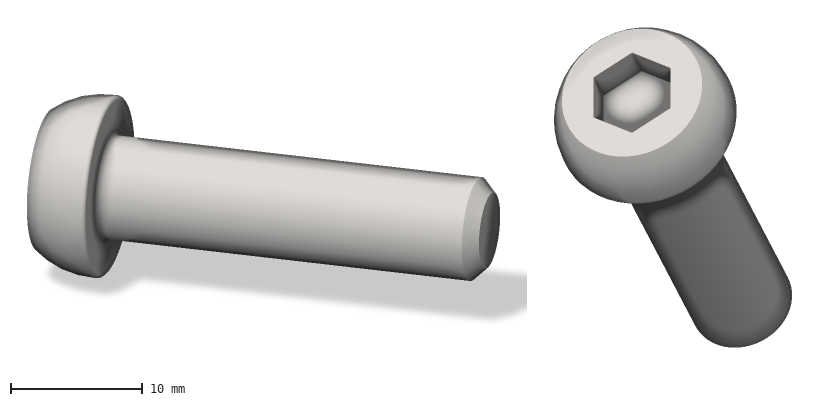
import cadquery as cq
import math

total_length = 35.0
head_diameter = 14.0
head_height = 5.0
face_diameter = 11.0
shank_diameter = 7.95
tip_chamfer = 1.05
lip_width = 0.2
lip_rounding = 0.28
neck_fillet = 0.3
socket_width = 6.02
socket_depth = 3.0

head_radius = head_diameter / 2
face_radius = face_diameter / 2
shank_radius = shank_diameter / 2
dome_end = head_height - lip_rounding - lip_width


def dome_midpoint():
    """Midpoint of the dome arc, a spherical surface centred on the screw axis."""
    center_x = (dome_end**2 + head_radius**2 - face_radius**2) / (2 * dome_end)
    sphere_radius = math.hypot(center_x, face_radius)
    face_angle = math.atan2(face_radius, -center_x)
    rim_angle = math.atan2(head_radius, dome_end - center_x)
    middle_angle = (face_angle + rim_angle) / 2
    x = center_x + sphere_radius * math.cos(middle_angle)
    radius = sphere_radius * math.sin(middle_angle)
    return x, radius


def make_body():
    """Head and shank, revolved as one profile about the X axis."""
    diagonal = 1 - math.sqrt(0.5)
    neck_middle = (head_height + neck_fillet * diagonal, shank_radius + neck_fillet * diagonal)
    rim_middle = (head_height - lip_rounding * diagonal, head_radius - lip_rounding * diagonal)
    profile = (
        cq.Workplane("XY")
        .lineTo(0, face_radius)
        .threePointArc(dome_midpoint(), (dome_end, head_radius))
        .lineTo(head_height - lip_rounding, head_radius)
        .threePointArc(rim_middle, (head_height, head_radius - lip_rounding))
        .lineTo(head_height, shank_radius + neck_fillet)
        .threePointArc(neck_middle, (head_height + neck_fillet, shank_radius))
        .lineTo(total_length - tip_chamfer, shank_radius)
        .lineTo(total_length, shank_radius - tip_chamfer)
        .lineTo(total_length, 0)
        .close()
    )
    return profile.revolve(360, (0, 0, 0), (1, 0, 0))


def make_socket():
    """Hexagonal socket with two corners pointing along Z."""
    across_corners = socket_width / math.cos(math.pi / 6)
    hexagon = cq.Workplane("YZ").transformed(rotate=(0, 0, 90)).polygon(6, across_corners)
    return hexagon.extrude(socket_depth)


result = make_body().cut(make_socket())